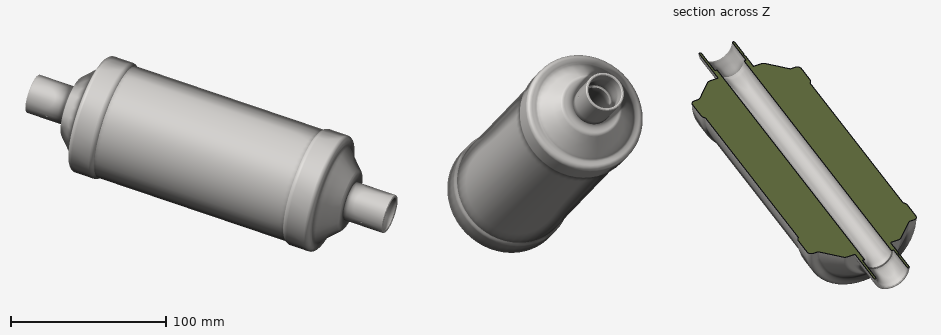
import cadquery as cq
import math

TOTAL_LENGTH = 250.0
HALF_LENGTH = TOTAL_LENGTH / 2

TUBE_DIAMETER = 25.9
TUBE_LENGTH = 27.5
TUBE_CHAMFER = 0.5
SOCKET_DIAMETER = 22.3
SOCKET_DEPTH = 20.0
BORE_DIAMETER = 19.3

MARK_DIAMETER = 1.5
MARK_DEPTH = 0.5
MARK_FROM_END = 15.0

SHELL_DIAMETER = 76.0
CAP_DIAMETER = 79.0
NOSE_RADIUS = 20.0
NOSE_ROUND = 3.0
CONE_LENGTH = 13.0
CONE_ANGLE = math.radians(45.0)
CONE_ROOT_ROUND = 2.0
CAP_EDGE_ROUND = 3.0
CAP_BAND_LENGTH = 12.5
CAP_RIM_LENGTH = 3.0

nose_x = HALF_LENGTH - TUBE_LENGTH
shoulder_x = nose_x - CONE_LENGTH
band_outer_x = shoulder_x - CAP_EDGE_ROUND
band_inner_x = band_outer_x - CAP_BAND_LENGTH
rim_end_x = band_inner_x - CAP_RIM_LENGTH

tube_radius = TUBE_DIAMETER / 2
cap_radius = CAP_DIAMETER / 2
cone_root_radius = NOSE_RADIUS + CONE_LENGTH * math.tan(CONE_ANGLE)


def round_points(corner_x, corner_radius, round_radius, side):
    """Start, middle and end of an arc blending a flat face with the cone.

    side is -1 for the convex round at the nose and +1 for the concave round at the
    cone root. The start lies on the flat face and the end on the cone.
    """
    start_radius = corner_radius + side * round_radius * math.tan(CONE_ANGLE / 2)

    def on_arc(turn):
        x = corner_x + side * round_radius * (1 - math.cos(turn))
        return (x, start_radius - side * round_radius * math.sin(turn))

    return on_arc(0), on_arc(CONE_ANGLE / 2), on_arc(CONE_ANGLE)


def end_cap():
    """Solid of revolution from the +X end of the shell to the end of its tube, with the socket cut."""
    nose_start, nose_middle, nose_end = round_points(nose_x, NOSE_RADIUS, NOSE_ROUND, -1)
    root_start, root_middle, root_end = round_points(shoulder_x, cone_root_radius, CONE_ROOT_ROUND, 1)
    edge_offset = CAP_EDGE_ROUND * math.sin(math.radians(45.0))
    edge_middle = (band_outer_x + edge_offset, cap_radius - CAP_EDGE_ROUND + edge_offset)
    profile = (
        cq.Workplane("XY")
        .moveTo(rim_end_x, 0)
        .lineTo(HALF_LENGTH, 0)
        .lineTo(HALF_LENGTH, tube_radius - TUBE_CHAMFER)
        .lineTo(HALF_LENGTH - TUBE_CHAMFER, tube_radius)
        .lineTo(nose_x, tube_radius)
        .lineTo(*nose_start)
        .threePointArc(nose_middle, nose_end)
        .lineTo(*root_end)
        .threePointArc(root_middle, root_start)
        .lineTo(shoulder_x, cap_radius - CAP_EDGE_ROUND)
        .threePointArc(edge_middle, (band_outer_x, cap_radius))
        .lineTo(band_inner_x, cap_radius)
        .tangentArcPoint((rim_end_x, SHELL_DIAMETER / 2), relative=False)
        .close()
    )
    return profile.revolve(360, (0, 0, 0), (1, 0, 0)).cut(socket()).cut(socket_mouth())


def shell():
    """Plain cylinder between the two end caps."""
    start = cq.Workplane("YZ", origin=(-rim_end_x, 0, 0))
    return start.circle(SHELL_DIAMETER / 2).extrude(2 * rim_end_x)


def bore():
    """Through passage along the axis."""
    start = cq.Workplane("YZ", origin=(-HALF_LENGTH, 0, 0))
    return start.circle(BORE_DIAMETER / 2).extrude(TOTAL_LENGTH)


def socket():
    """Wider socket that receives a pipe in the +X tube."""
    start = cq.Workplane("YZ", origin=(HALF_LENGTH - SOCKET_DEPTH, 0, 0))
    return start.circle(SOCKET_DIAMETER / 2).extrude(SOCKET_DEPTH)


def socket_mouth():
    """Conical lead-in at the open end of the +X socket."""
    mouth_radius = SOCKET_DIAMETER / 2 + TUBE_CHAMFER
    start = cq.Workplane("YZ", origin=(HALF_LENGTH, 0, 0))
    return start.circle(mouth_radius).extrude(-2 * TUBE_CHAMFER, taper=45)


def staking_mark(end):
    """Shallow round mark on the -Y side of the tube at the given end (+1 or -1)."""
    x = end * (HALF_LENGTH - MARK_FROM_END)
    floor_y = MARK_DEPTH - tube_radius
    return cq.Workplane("XZ", origin=(x, floor_y, 0)).circle(MARK_DIAMETER / 2).extrude(2 * MARK_DEPTH)


cap = end_cap()
result = shell().union(cap).union(cap.mirror("YZ")).cut(bore())
for end in (-1, 1):
    result = result.cut(staking_mark(end))